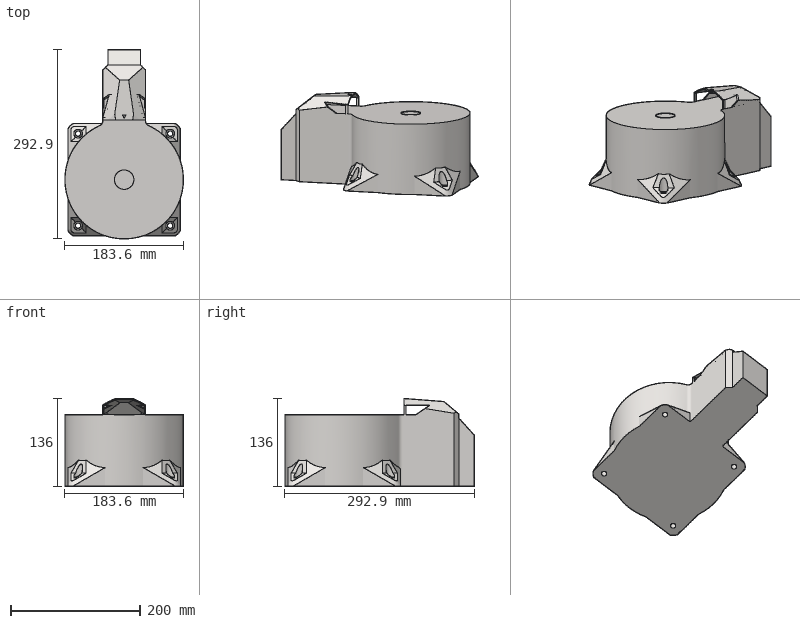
import cadquery as cq
import math

DRUM_RADIUS = 91.8
DRUM_HEIGHT = 111.0
HUB_DIAMETER = 30.0
HUB_RECESS = 1.0

ARM_HALF_WIDTH = 33.3
ARM_END_Y = 177.2
ARM_CORNER_CHAMFER = 7.8
NECK_FILLET = 7.3

HOOD_FRONT_Y = 92.0
HOOD_WALL = 2.0
CREST_HEIGHT = 136.0
CREST_FRONT_HALF = 13.0
SHOULDER_FRONT = (26.5, HOOD_FRONT_Y, 129.9)
CREST_BEND_HALF = 14.6
CREST_BEND_Y = 101.0
CREST_REAR_HALF = 7.0
CREST_REAR_Y = 154.0
CREST_REAR_HEIGHT = 131.2
EAVE_REAR_HEIGHT = 113.0
HOOD_END_HEIGHT = 112.0

WINDOW_TOP = 125.2
WINDOW_FRONT_Y = 95.8
WINDOW_TOP_REAR_Y = 132.0
WINDOW_BOTTOM_REAR_Y = 110.8

POINTER_TIP_Y = 95.0
POINTER_SIZE = 5.0
POINTER_FLOOR = 135.0

BLOCK_HALF_WIDTH = 25.3
BLOCK_END_Y = 201.1
BLOCK_FRONT_HEIGHT = 105.5
BLOCK_END_HEIGHT = 79.2

FOOT_HALF_SPAN = 87.0
FOOT_CORNER_RADIUS = 10.0
FOOT_EDGE_HEIGHT = 29.0
HOLE_OFFSET = 71.2
SEAT_OFFSET = 70.5
SEAT_HEIGHT = 20.25
SHALLOW_SLOPE = math.tan(math.radians(30))
STEEP_SLOPE = math.tan(math.radians(60))
BOLT_HOLE_DIAMETER = 8.0
COUNTERBORE_DIAMETER = 13.5
COUNTERBORE_FLOOR = 13.0
FOOT_COUNT = 4

RIDGE_APEX = 78.3
RIDGE_SPREAD = 0.27

REACH = 400.0


def below_plane(point, normal, inset=0.0):
    """Large box filling the space below a sloping plane moved inward by inset."""
    up = cq.Vector(*normal).normalized()
    origin = cq.Vector(*point) - up * inset
    face = cq.Workplane(cq.Plane(origin, (up.z, 0, -up.x), up)).rect(2 * REACH, 2 * REACH)
    return face.extrude(-REACH)


def below_points(a, b, c, inset=0.0):
    """Space below the plane through three points."""
    start = cq.Vector(*a)
    normal = (cq.Vector(*b) - start).cross(cq.Vector(*c) - start)
    if normal.z < 0:
        normal = normal * -1
    return below_plane(a, normal.toTuple(), inset)


def mirrored(point):
    return (-point[0], point[1], point[2])


def make_drum():
    return cq.Workplane("XY").circle(DRUM_RADIUS).extrude(DRUM_HEIGHT)


def hub_recess():
    return cq.Workplane("XY").workplane(offset=DRUM_HEIGHT).circle(HUB_DIAMETER / 2).extrude(-HUB_RECESS)


def arm_column(front_y, bottom, top, inset=0.0):
    """Upright column with the arm's plan shape, its walls moved inward by inset."""
    half = ARM_HALF_WIDTH - inset
    end = ARM_END_Y - inset
    chamfer = ARM_CORNER_CHAMFER - inset * (2 - math.sqrt(2))
    outline = [
        (-half, front_y),
        (half, front_y),
        (half, end - chamfer),
        (half - chamfer, end),
        (chamfer - half, end),
        (-half, end - chamfer),
    ]
    return cq.Workplane("XY").workplane(offset=bottom).polyline(outline).close().extrude(top - bottom)


def make_neck():
    """Lower arm body, with concave fillets running into the drum."""
    centre_x = ARM_HALF_WIDTH + NECK_FILLET
    centre_y = math.sqrt((DRUM_RADIUS + NECK_FILLET) ** 2 - centre_x ** 2)
    to_drum = DRUM_RADIUS / (DRUM_RADIUS + NECK_FILLET)
    touch_x = centre_x * to_drum
    touch_y = centre_y * to_drum
    body = arm_column(0, 0, DRUM_HEIGHT)
    web = (
        cq.Workplane("XY")
        .polyline([
            (0, 0),
            (touch_x, touch_y),
            (ARM_HALF_WIDTH, centre_y),
            (-ARM_HALF_WIDTH, centre_y),
            (-touch_x, touch_y),
        ])
        .close()
        .extrude(DRUM_HEIGHT)
    )
    body = body.union(web)
    for side in (-1, 1):
        body = body.cut(
            cq.Workplane("XY").center(side * centre_x, centre_y).circle(NECK_FILLET).extrude(DRUM_HEIGHT))
    return body


def hood_body(bottom, inset=0.0):
    """Faceted hood volume, with walls and roof moved inward by inset."""
    crest_slope = (CREST_HEIGHT - CREST_REAR_HEIGHT) / (CREST_REAR_Y - HOOD_FRONT_Y)
    bend_height = CREST_HEIGHT - crest_slope * (CREST_BEND_Y - HOOD_FRONT_Y)
    crest_front = (CREST_FRONT_HALF, HOOD_FRONT_Y, CREST_HEIGHT)
    crest_bend = (CREST_BEND_HALF, CREST_BEND_Y, bend_height)
    crest_rear = (CREST_REAR_HALF, CREST_REAR_Y, CREST_REAR_HEIGHT)
    eave_rear = (ARM_HALF_WIDTH, ARM_END_Y - ARM_CORNER_CHAMFER, EAVE_REAR_HEIGHT)
    end_edge = (0, ARM_END_Y, HOOD_END_HEIGHT)

    body = arm_column(HOOD_FRONT_Y, bottom, CREST_HEIGHT, inset)
    body = body.intersect(below_points(crest_front, crest_rear, mirrored(crest_rear), inset))
    body = body.intersect(below_points(crest_rear, mirrored(crest_rear), end_edge, inset))
    facets = [
        (crest_bend, crest_rear, eave_rear),
        (crest_front, crest_bend, SHOULDER_FRONT),
    ]
    for facet in facets:
        body = body.intersect(below_points(*facet, inset))
        body = body.intersect(below_points(*[mirrored(corner) for corner in facet], inset))
    return body


def make_hood():
    hood = hood_body(DRUM_HEIGHT).cut(hood_body(DRUM_HEIGHT, HOOD_WALL))
    window = (
        cq.Workplane("YZ")
        .polyline([
            (WINDOW_FRONT_Y, DRUM_HEIGHT),
            (WINDOW_FRONT_Y, WINDOW_TOP),
            (WINDOW_TOP_REAR_Y, WINDOW_TOP),
            (WINDOW_BOTTOM_REAR_Y, DRUM_HEIGHT),
        ])
        .close()
        .extrude(REACH, both=True)
    )
    pointer = (
        cq.Workplane("XY")
        .workplane(offset=POINTER_FLOOR)
        .polyline([
            (0, POINTER_TIP_Y),
            (POINTER_SIZE / 2, POINTER_TIP_Y + POINTER_SIZE),
            (-POINTER_SIZE / 2, POINTER_TIP_Y + POINTER_SIZE),
        ])
        .close()
        .extrude(CREST_HEIGHT - POINTER_FLOOR)
    )
    return hood.cut(window).cut(pointer)


def make_block():
    profile = [
        (0, 0),
        (BLOCK_END_Y, 0),
        (BLOCK_END_Y, BLOCK_END_HEIGHT),
        (ARM_END_Y, BLOCK_FRONT_HEIGHT),
        (0, BLOCK_FRONT_HEIGHT),
    ]
    return cq.Workplane("YZ").polyline(profile).close().extrude(BLOCK_HALF_WIDTH, both=True)


def make_foot():
    """Foot in the +X +Y corner, its two roof planes sloping 30 degrees along a side and 60 across it."""
    edge_start = math.sqrt(DRUM_RADIUS ** 2 - FOOT_HALF_SPAN ** 2)
    foot = (
        cq.Workplane("XY")
        .rect(FOOT_HALF_SPAN, FOOT_HALF_SPAN, centered=False)
        .extrude(DRUM_HEIGHT)
        .edges("|Z and >(1,1,0)")
        .fillet(FOOT_CORNER_RADIUS)
    )
    foot = foot.intersect(
        below_plane((edge_start, FOOT_HALF_SPAN, FOOT_EDGE_HEIGHT), (SHALLOW_SLOPE, STEEP_SLOPE, 1)))
    foot = foot.intersect(
        below_plane((FOOT_HALF_SPAN, edge_start, FOOT_EDGE_HEIGHT), (STEEP_SLOPE, SHALLOW_SLOPE, 1)))

    seat = (SEAT_OFFSET, SEAT_OFFSET, SEAT_HEIGHT)
    seat_space = below_plane(seat, (SHALLOW_SLOPE, SHALLOW_SLOPE, 1)).union(
        below_plane(seat, (STEEP_SLOPE, STEEP_SLOPE, 1)))
    foot = foot.intersect(seat_space)

    return foot.cut(ridge_rounding(edge_start))


def ridge_rounding(edge_start):
    """Waste outside a cone that touches both roof planes and rounds their ridge."""
    apex_height = (FOOT_EDGE_HEIGHT - SHALLOW_SLOPE * (RIDGE_APEX - edge_start)
                   + STEEP_SLOPE * (FOOT_HALF_SPAN - RIDGE_APEX))
    apex = cq.Vector(RIDGE_APEX, RIDGE_APEX, apex_height)

    touch = cq.Vector(-RIDGE_SPREAD, 1, RIDGE_SPREAD * SHALLOW_SLOPE - STEEP_SLOPE).normalized()
    inward = cq.Vector(-SHALLOW_SLOPE, -STEEP_SLOPE, -1).normalized()
    spread = (touch.y - touch.x) / (inward.x - inward.y)
    length = 2 * apex_height
    cone = cq.Solid.makeCone(0, length * spread, length, apex, touch + inward * spread)

    side = FOOT_HALF_SPAN - RIDGE_APEX + FOOT_CORNER_RADIUS
    sector = (
        cq.Workplane("XY")
        .polyline([(0, 0), (side, -RIDGE_SPREAD * side), (side, side), (-RIDGE_SPREAD * side, side)])
        .close()
        .extrude(apex_height)
        .translate((RIDGE_APEX, RIDGE_APEX, 0))
    )
    return sector.cut(cq.Workplane(cone))


def bolt_hole():
    hole = cq.Workplane("XY").circle(BOLT_HOLE_DIAMETER / 2).extrude(DRUM_HEIGHT / 2)
    bore = (
        cq.Workplane("XY")
        .workplane(offset=COUNTERBORE_FLOOR)
        .circle(COUNTERBORE_DIAMETER / 2)
        .extrude(DRUM_HEIGHT / 2)
    )
    return hole.union(bore).translate((HOLE_OFFSET, HOLE_OFFSET, 0))


result = make_drum().union(make_neck()).union(make_block()).union(make_hood())
foot = make_foot()
hole = bolt_hole()
for quarter in range(FOOT_COUNT):
    angle = quarter * 360 / FOOT_COUNT
    result = result.union(foot.rotate((0, 0, 0), (0, 0, 1), angle))
    result = result.cut(hole.rotate((0, 0, 0), (0, 0, 1), angle))
result = result.cut(hub_recess())